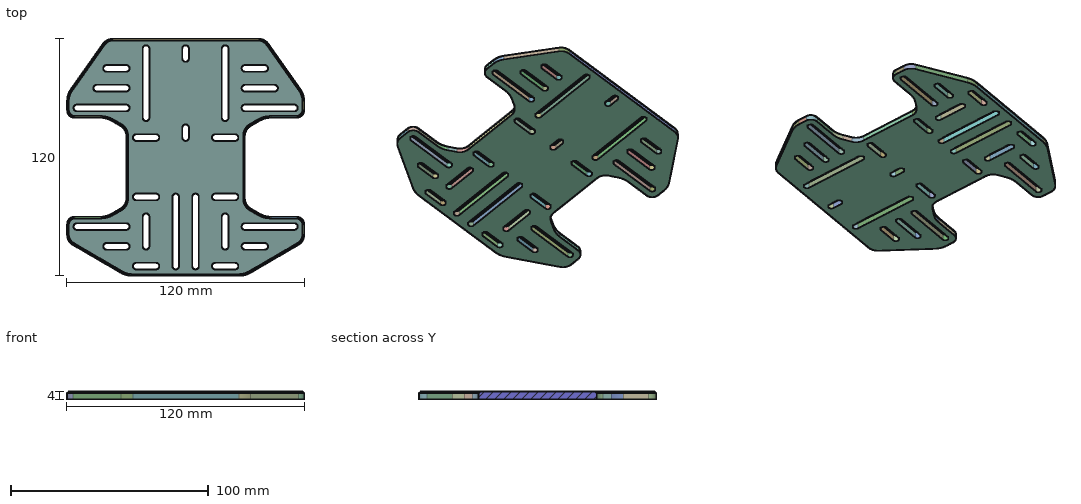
import cadquery as cq
import math

SIDE = 120.0
THICKNESS = 4.0
EDGE_CHAMFER = 1.0
SLOT_WIDTH = 3.2
GRID = SIDE / 24

WING_TIP_RADIUS = 4.0
NECK_RADIUS = 6.0
LOWER_SHOULDER_RADIUS = 6.0
TOP_CORNER_RADIUS = 6.0
UPPER_SHOULDER_RADIUS = 10.0
BROAD_RADIUS = 12.0

HALF_SIDE = SIDE / 2
TOP_HALF_WIDTH = 8 * GRID
UPPER_SHOULDER_Y = 31.7
UPPER_WING_Y = 4 * GRID
LOWER_WING_Y = -6 * GRID
NECK_HALF_WIDTH = 6 * GRID
NOTCH_MOUTH_X = 8 * GRID
BOTTOM_HALF_WIDTH = 6 * GRID
NOTCH_SLANT_ANGLE = math.radians(30)
NOTCH_SLANT_RISE = (NOTCH_MOUTH_X - NECK_HALF_WIDTH) * math.tan(NOTCH_SLANT_ANGLE)
LOWER_SHOULDER_Y = -8.5 * GRID

CORNERS = [
    (TOP_HALF_WIDTH, HALF_SIDE, TOP_CORNER_RADIUS),
    (HALF_SIDE, UPPER_SHOULDER_Y, UPPER_SHOULDER_RADIUS),
    (HALF_SIDE, UPPER_WING_Y, WING_TIP_RADIUS),
    (NOTCH_MOUTH_X, UPPER_WING_Y, BROAD_RADIUS),
    (NECK_HALF_WIDTH, UPPER_WING_Y - NOTCH_SLANT_RISE, NECK_RADIUS),
    (NECK_HALF_WIDTH, LOWER_WING_Y + NOTCH_SLANT_RISE, NECK_RADIUS),
    (NOTCH_MOUTH_X, LOWER_WING_Y, BROAD_RADIUS),
    (HALF_SIDE, LOWER_WING_Y, WING_TIP_RADIUS),
    (HALF_SIDE, LOWER_SHOULDER_Y, LOWER_SHOULDER_RADIUS),
    (BOTTOM_HALF_WIDTH, -HALF_SIDE, BROAD_RADIUS),
]

CROSS_SLOTS = [
    (9, 6, 8),
    (7, 6, 9),
    (5, 6, 11),
    (2, 3, 5),
    (-4, 3, 5),
    (-7, 6, 11),
    (-9, 6, 8),
    (-11, 3, 5),
]
LENGTHWISE_SLOTS = [
    (4, 4, 11),
    (4, -9, -6),
    (1, -11, -4),
]
CENTRE_SLOTS = [
    (10, 11),
    (2, 3),
]


def make_plate():
    """Symmetric plate with rounded corners and a chamfered top rim."""
    right_half = [(x, y) for x, y, _ in CORNERS]
    left_half = [(-x, y) for x, y in reversed(right_half)]
    plate = cq.Workplane("XY").polyline(right_half + left_half).close().extrude(THICKNESS)
    for x, y, radius in CORNERS:
        for side in (1, -1):
            corner_edge = cq.selectors.NearestToPointSelector((side * x, y, THICKNESS / 2))
            plate = plate.edges("|Z").edges(corner_edge).fillet(radius)
    return plate.faces(">Z").edges().chamfer(EDGE_CHAMFER)


def make_slot(start, end):
    """Through cutter for a round-ended slot between two end centres in grid steps."""
    steps_x = end[0] - start[0]
    steps_y = end[1] - start[1]
    length = GRID * math.hypot(steps_x, steps_y) + SLOT_WIDTH
    angle = math.degrees(math.atan2(steps_y, steps_x))
    middle = (GRID * (start[0] + end[0]) / 2, GRID * (start[1] + end[1]) / 2)
    return cq.Workplane("XY").center(*middle).slot2D(length, SLOT_WIDTH, angle).extrude(THICKNESS)


result = make_plate()
for side in (1, -1):
    for row, inner, outer in CROSS_SLOTS:
        result = result.cut(make_slot((side * inner, row), (side * outer, row)))
    for column, lower, upper in LENGTHWISE_SLOTS:
        result = result.cut(make_slot((side * column, lower), (side * column, upper)))
for lower, upper in CENTRE_SLOTS:
    result = result.cut(make_slot((0, lower), (0, upper)))